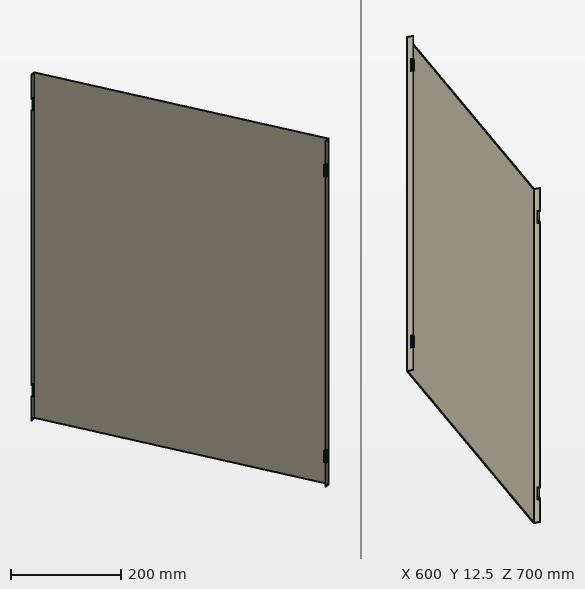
import cadquery as cq

width = 600.0
depth = 12.5
height = 700.0
thickness = 1.0

strip_inset = 60.0
strip_height = 24.5
strip_depth = 4.0
slit_width = 1.05
strip_offset = 3.5
strip_ramp = 1.5

front = -depth / 2
back = depth / 2
side = width / 2


def box(x_range, y_range, z_range):
    """Box spanning the given (low, high) range along each axis."""
    sizes = [high - low for low, high in (x_range, y_range, z_range)]
    corner = (x_range[0], y_range[0], z_range[0])
    return cq.Workplane("XY").box(*sizes, centered=False).translate(corner)


def make_channel():
    """Panel and its two side flanges."""
    half_height = height / 2
    outer = cq.Workplane("XY").box(width, depth, height)
    hollow = box(
        (-side + thickness, side - thickness),
        (front, back - thickness),
        (-half_height, half_height),
    )
    return outer.cut(hollow)


def make_opening(z_center):
    """Cutter that removes the left flange where the strip is pressed inward."""
    half = strip_height / 2
    return box(
        (-side, -side + thickness),
        (front, front + strip_depth + slit_width),
        (z_center - half, z_center + half),
    )


def make_strip(z_center):
    """Left strip: a straight middle joined to the flange by a ramp at each end."""
    half = strip_height / 2
    middle_half = half - strip_ramp
    outer = -side
    inner = -side + thickness
    return (
        cq.Workplane("XZ", origin=(0, front, z_center))
        .polyline([
            (outer, -half),
            (outer + strip_offset, -middle_half),
            (outer + strip_offset, middle_half),
            (outer, half),
            (inner, half),
            (inner + strip_offset, middle_half),
            (inner + strip_offset, -middle_half),
            (inner, -half),
        ])
        .close()
        .extrude(-strip_depth)
    )


result = make_channel()
strip_center = height / 2 - strip_inset
for z_center in (-strip_center, strip_center):
    opening = make_opening(z_center)
    strip = make_strip(z_center)
    result = result.cut(opening).cut(opening.mirror("YZ"))
    result = result.union(strip).union(strip.mirror("YZ"))